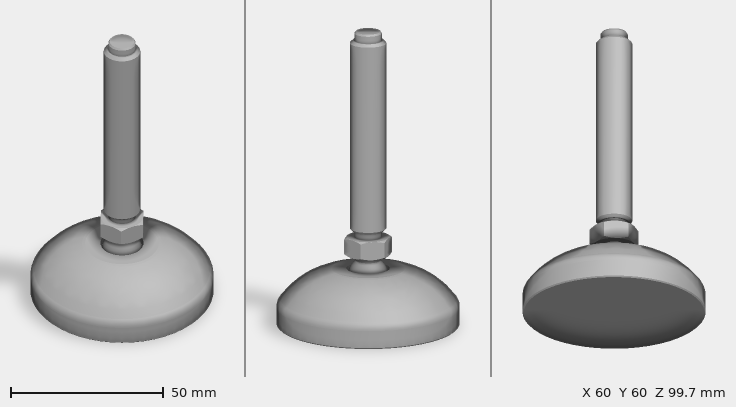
import cadquery as cq
import math


total_height = 99.7

base_radius = 30.0
base_bottom_chamfer = 0.4
rim_height = 6.2
shoulder_radius = 28.8
shoulder_height = 8.9
dome_mid_radius = 22.1
dome_mid_height = 15.2
dome_top_radius = 13.1
crown_radius = 12.1
base_height = 19.1
crown_drop = 0.2

ball_radius = 13.3 / 2
ball_center_height = 16.65
socket_radius = 14.2 / 2

neck_radius = 8.1 / 2
hex_bottom = 23.7
hex_top = 29.9
hex_across_flats = 14.0
hex_chamfer_radius = hex_across_flats / 2
hex_chamfer_angle = 30.0

stud_radius = 12.0 / 2
stud_bottom = 31.9
stud_chamfer = 0.9
relief_radius = 9.0 / 2
tip_length = 3.0
tip_top_radius = 8.1 / 2
tip_chamfer_height = 0.6


def make_base():
    """Revolved dome with a cylindrical socket reaching down to the ball centre."""
    dome_edge_height = base_height - crown_drop
    rim_arc_start = (base_radius, rim_height)
    shoulder = (shoulder_radius, shoulder_height)
    profile = (
        cq.Workplane("XZ")
        .lineTo(base_radius - base_bottom_chamfer, 0)
        .lineTo(base_radius, base_bottom_chamfer)
        .lineTo(*rim_arc_start)
        .tangentArcPoint(shoulder, relative=False)
        .threePointArc((dome_mid_radius, dome_mid_height), (dome_top_radius, dome_edge_height))
        .tangentArcPoint((crown_radius, base_height), relative=False)
        .lineTo(0, base_height)
        .close()
    )
    base = profile.revolve(360, (0, 0, 0), (0, 1, 0))
    socket = (
        cq.Workplane("XY")
        .workplane(offset=ball_center_height)
        .circle(socket_radius)
        .extrude(base_height - ball_center_height)
    )
    return base.cut(socket)


def make_ball_and_neck():
    """Ball seated in the socket, with the neck rising to the hexagon."""
    ball = cq.Workplane("XY").sphere(ball_radius).translate((0, 0, ball_center_height))
    neck = (
        cq.Workplane("XY")
        .workplane(offset=ball_center_height)
        .circle(neck_radius)
        .extrude(hex_bottom - ball_center_height)
    )
    return ball.union(neck)


def make_hexagon():
    """Hexagon with flats facing +X and -X and conical chamfers on both ends."""
    corner_radius = hex_across_flats / 2 / math.cos(math.pi / 6)
    chamfer_height = (corner_radius - hex_chamfer_radius) * math.tan(math.radians(hex_chamfer_angle))
    hexagon = (
        cq.Workplane("XY")
        .workplane(offset=hex_bottom)
        .transformed(rotate=(0, 0, 90))
        .polygon(6, 2 * corner_radius)
        .extrude(hex_top - hex_bottom)
    )
    chamfer_envelope = (
        cq.Workplane("XZ")
        .moveTo(0, hex_bottom)
        .lineTo(hex_chamfer_radius, hex_bottom)
        .lineTo(corner_radius, hex_bottom + chamfer_height)
        .lineTo(corner_radius, hex_top - chamfer_height)
        .lineTo(hex_chamfer_radius, hex_top)
        .lineTo(0, hex_top)
        .close()
        .revolve(360, (0, 0, 0), (0, 1, 0))
    )
    return hexagon.intersect(chamfer_envelope)


def make_stud():
    """Relief groove, chamfered stud and reduced tip as one revolved body."""
    stud_top = total_height - tip_length
    return (
        cq.Workplane("XZ")
        .moveTo(0, hex_top)
        .lineTo(relief_radius, hex_top)
        .lineTo(relief_radius, stud_bottom)
        .lineTo(stud_radius - stud_chamfer, stud_bottom)
        .lineTo(stud_radius, stud_bottom + stud_chamfer)
        .lineTo(stud_radius, stud_top - stud_chamfer)
        .lineTo(stud_radius - stud_chamfer, stud_top)
        .lineTo(relief_radius, stud_top)
        .lineTo(relief_radius, total_height - tip_chamfer_height)
        .lineTo(tip_top_radius, total_height)
        .lineTo(0, total_height)
        .close()
        .revolve(360, (0, 0, 0), (0, 1, 0))
    )


result = make_base().union(make_ball_and_neck()).union(make_hexagon()).union(make_stud())